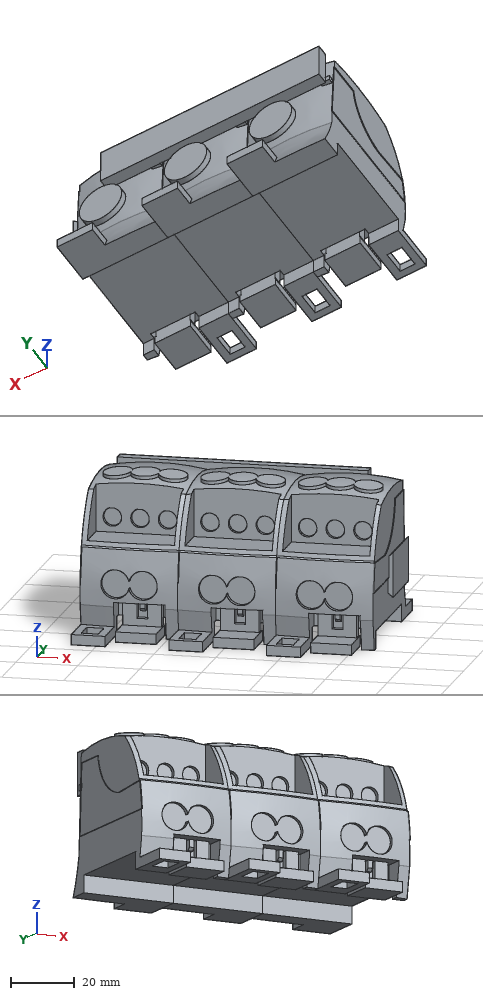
import cadquery as cq

MODULE_COUNT = 3
MODULE_WIDTH = 31.5
TOTAL_LENGTH = 96.2
TOTAL_DEPTH = 68.0
TERMINAL_CENTRE = 16.0
TERMINAL_PITCH = 8.9
TERMINAL_RADIUS = 4.6

REAR_CROWN = 1.4
REAR_FOOT_CROWN = 0.4
TOP_CROWN = 1.1
FRONT_CROWN = 0.9

WINDOW_X = (1.8, 30.0)
WINDOW_FLOOR = 30.4
WINDOW_BACK = 27.3
SCREW_HOLE_RADIUS = 3.0
SCREW_HOLE_HEIGHT = 35.3
SCREW_HOLE_DEPTH = 1.4

CAP_Y = 35.1
CAP_HEIGHT = 1.1
ENTRY_HEIGHT = 17.4
ENTRY_FLOOR = 13.3

GROOVE_FRONT = 16.7
GROOVE_BACK = 52.7
GROOVE_HEIGHT = 5.8
FOOT_WIDTH = 11.0
FOOT_THICKNESS = 3.4
FOOT_HOLE_X = (2.7, 8.2)
FOOT_HOLE_Y = (2.5, 10.3)
REAR_TAB_START = 18.4
REAR_TAB_THICKNESS = 3.7
LATCH_OPENING_X = (FOOT_WIDTH, 27.5)
LATCH_OPENING_HEIGHT = 11.5
LATCH_X = (13.0, 25.5)
LATCH_TAB_X = (12.8, 26.0)
LATCH_FRONT = 15.9
LATCH_BACK = 18.85
LATCH_TIP = 6.4
LATCH_RECESS_X = (17.6, 21.1)
LATCH_RECESS_DEPTH = 1.9
TONGUE_X = (18.6, 20.2)
TONGUE_BOTTOM = 8.1
TONGUE_CHAMFER = 1.0

PANEL_DEPTH = 0.3
PANEL_BOTTOM = 18.85
PANEL_REAR_TOP = 42.4
PANEL_FRONT_TOP = 29.2

BOSS_X = 20.8
BOSS_HEIGHT = 24.3
BOSS_RADIUS = 7.9
BOSS_BACK = 59.4
BAR_X = (1.8, 82.9)
BAR_Y = (56.9, 61.0)
BAR_Z = (33.2, 47.3)
PAD_X = (0.5, 3.8)
PAD_Z = (33.95, 35.9)

DOVETAIL_Y = (33.95, 56.0)
DOVETAIL_Z = (12.5, 27.0)
DOVETAIL_FLARE = 1.3

INSIDE_Y = 48.1
ABOVE_TOP = 57.7


def box(x, y, z):
    """Axis-aligned box between (low, high) pairs."""
    size = (x[1] - x[0], y[1] - y[0], z[1] - z[0])
    return cq.Workplane("XY").box(*size, centered=False).translate((x[0], y[0], z[0]))


def terminal_x(count):
    """X positions of a centred row of terminals."""
    first = TERMINAL_CENTRE - (count - 1) * TERMINAL_PITCH / 2
    return [first + i * TERMINAL_PITCH for i in range(count)]


def y_cylinders(x_places, z, radius, y_front, y_back):
    """Cylinders along Y, side by side at one height."""
    return (
        cq.Workplane("XZ", origin=(0, y_back, 0))
        .pushPoints([(x, z) for x in x_places])
        .cylinder(y_back - y_front, radius, centered=(True, True, False))
    )


def section(x, bulge):
    """Side profile at x; bulge is 0 at the module's sides and 1 in its middle."""
    rear = REAR_CROWN * bulge
    foot = REAR_FOOT_CROWN * bulge
    top = TOP_CROWN * bulge
    front = FRONT_CROWN * bulge
    return (
        cq.Workplane("YZ", origin=(x, 0, 0))
        .moveTo(60.3 + foot, 0)
        .threePointArc((57.9 + (foot + rear) / 2, 6.25), (56.3 + rear, 12.5))
        .lineTo(54.5 + rear, 45.5 + top)
        .threePointArc((40.2, 46.9 + top), (24.2 - front, 44.7 + top))
        .threePointArc((17.6 - front, 36.4), (14.4 - front, 28.95))
        .lineTo(14.0 - front, 28.5)
        .threePointArc((12.6 - front, 18.85), (12.5 - front, 10.1))
        .lineTo(14.3 - front, 0)
        .close()
        .val()
    )


def crowned_block():
    """Solid module block, lofted over its crowned profiles."""
    sections = [section(0, 0), section(MODULE_WIDTH / 2, 1), section(MODULE_WIDTH, 0)]
    return cq.Workplane("XY").newObject([cq.Solid.makeLoft(sections)])


def side_panel():
    """Panel under the curved line on the left side, trimmed to the side profile."""
    outline = (
        cq.Workplane("YZ")
        .moveTo(TOTAL_DEPTH, PANEL_BOTTOM)
        .lineTo(TOTAL_DEPTH, PANEL_REAR_TOP)
        .lineTo(43.1, PANEL_REAR_TOP)
        .threePointArc((38.1, 32.2), (28.6, 27.4))
        .lineTo(0, PANEL_FRONT_TOP)
        .lineTo(0, PANEL_BOTTOM)
        .close()
        .extrude(PANEL_DEPTH)
    )
    slab = cq.Solid.extrudeLinear(section(0, 0), [], cq.Vector(PANEL_DEPTH, 0, 0))
    return outline.intersect(cq.Workplane("XY").newObject([slab]))


def add_caps(body, block):
    """Raised discs that follow the crowned top."""
    columns = (
        cq.Workplane("XY", origin=(0, 0, WINDOW_FLOOR))
        .pushPoints([(x, CAP_Y) for x in terminal_x(3)])
        .cylinder(ABOVE_TOP - WINDOW_FLOOR, TERMINAL_RADIUS, centered=(True, True, False))
    )
    return body.union(block.translate((0, 0, CAP_HEIGHT)).intersect(columns))


def cut_window(body):
    """Opening in the upper front with screw holes in its back wall."""
    body = body.cut(box(WINDOW_X, (0, WINDOW_BACK), (WINDOW_FLOOR, ABOVE_TOP)))
    screw_holes = y_cylinders(
        terminal_x(3), SCREW_HOLE_HEIGHT, SCREW_HOLE_RADIUS, WINDOW_BACK, WINDOW_BACK + SCREW_HOLE_DEPTH
    )
    return body.cut(screw_holes)


def add_feet(body):
    """Rail groove, slotted front foot and plain rear tab."""
    body = body.cut(box((0, MODULE_WIDTH), (GROOVE_FRONT, GROOVE_BACK), (0, GROOVE_HEIGHT)))
    body = body.union(box((0, FOOT_WIDTH), (0, GROOVE_FRONT), (0, FOOT_THICKNESS)))
    body = body.cut(box(FOOT_HOLE_X, FOOT_HOLE_Y, (0, FOOT_THICKNESS)))
    rear_tab = box((REAR_TAB_START, MODULE_WIDTH), (GROOVE_BACK, TOTAL_DEPTH), (0, REAR_TAB_THICKNESS))
    return body.union(rear_tab)


def add_latch(body):
    """L-shaped latch hanging in an opening of the front wall, with a tongue in its recess."""
    body = body.cut(box(LATCH_OPENING_X, (0, LATCH_BACK), (0, LATCH_OPENING_HEIGHT)))
    latch = box(LATCH_X, (LATCH_FRONT, LATCH_BACK), (0, LATCH_OPENING_HEIGHT))
    latch = latch.union(box(LATCH_TAB_X, (LATCH_TIP, LATCH_BACK), (0, FOOT_THICKNESS)))
    recess_y = (LATCH_FRONT, LATCH_FRONT + LATCH_RECESS_DEPTH)
    latch = latch.cut(box(LATCH_RECESS_X, recess_y, (GROOVE_HEIGHT, LATCH_OPENING_HEIGHT)))
    tongue = box(TONGUE_X, recess_y, (TONGUE_BOTTOM, LATCH_OPENING_HEIGHT))
    tongue = tongue.faces("<Y").edges("<Z").chamfer(TONGUE_CHAMFER)
    latch = latch.union(tongue)
    return body.union(latch)


def make_module():
    """One terminal module with its left side at X = 0."""
    block = crowned_block()
    panel = side_panel()
    body = block.cut(panel).union(panel.translate((MODULE_WIDTH, 0, 0)))
    body = cut_window(add_caps(body, block))
    body = body.cut(y_cylinders(terminal_x(2), ENTRY_HEIGHT, TERMINAL_RADIUS, 0, ENTRY_FLOOR))
    body = add_latch(add_feet(body))
    body = body.union(y_cylinders([BOSS_X], BOSS_HEIGHT, BOSS_RADIUS, INSIDE_Y, BOSS_BACK))
    return body.union(box(PAD_X, (INSIDE_Y, BAR_Y[0]), PAD_Z))


def dovetail():
    """Flared key on the right side of the last module."""
    root = MODULE_COUNT * MODULE_WIDTH
    low, high = DOVETAIL_Z
    return (
        cq.Workplane("XZ", origin=(0, DOVETAIL_Y[0], 0))
        .polyline([
            (root, low + DOVETAIL_FLARE),
            (TOTAL_LENGTH, low),
            (TOTAL_LENGTH, high),
            (root, high - DOVETAIL_FLARE),
        ])
        .close()
        .extrude(DOVETAIL_Y[0] - DOVETAIL_Y[1])
    )


module = make_module()
modules = []
for i in range(MODULE_COUNT):
    placed = module.translate((i * MODULE_WIDTH, 0, 0))
    if i == 0:
        placed = placed.union(box(BAR_X, BAR_Y, BAR_Z))
    if i == MODULE_COUNT - 1:
        placed = placed.union(dovetail())
    modules.append(placed)

result = cq.Compound.makeCompound([placed.solids().val() for placed in modules])